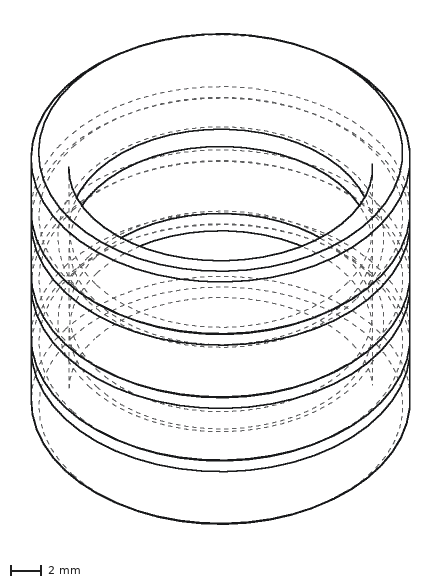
import cadquery as cq

outer_radius = 12.5
bore_radius = 10.0
total_height = 22.0
bore_rounding = 1.5

band_count = 4
band_height = total_height / band_count
band_chamfer = 0.5

bore_groove_count = 2
bore_groove_radius = 0.75
bore_groove_pitch = total_height / (bore_groove_count + 1)


def make_band(base_z):
    """One solid disc with both outer edges chamfered."""
    disc = cq.Workplane("XY").workplane(offset=base_z).circle(outer_radius).extrude(band_height)
    return disc.edges().chamfer(band_chamfer)


def make_bore():
    """Through bore that flares out with a round at both ends."""
    flare_radius = bore_radius + bore_rounding
    return (
        cq.Workplane("XZ")
        .lineTo(flare_radius, 0)
        .radiusArc((bore_radius, bore_rounding), bore_rounding)
        .lineTo(bore_radius, total_height - bore_rounding)
        .radiusArc((flare_radius, total_height), bore_rounding)
        .lineTo(0, total_height)
        .close()
        .revolve(360, (0, 0), (0, 1))
    )


def make_bore_groove(center_z):
    """Ring of circular section centred on the bore wall."""
    return (
        cq.Workplane("XZ")
        .center(bore_radius, center_z)
        .circle(bore_groove_radius)
        .revolve(360, (-bore_radius, 0), (-bore_radius, 1))
    )


result = make_band(0)
for index in range(1, band_count):
    result = result.union(make_band(index * band_height))

result = result.cut(make_bore())
for index in range(1, bore_groove_count + 1):
    result = result.cut(make_bore_groove(index * bore_groove_pitch))